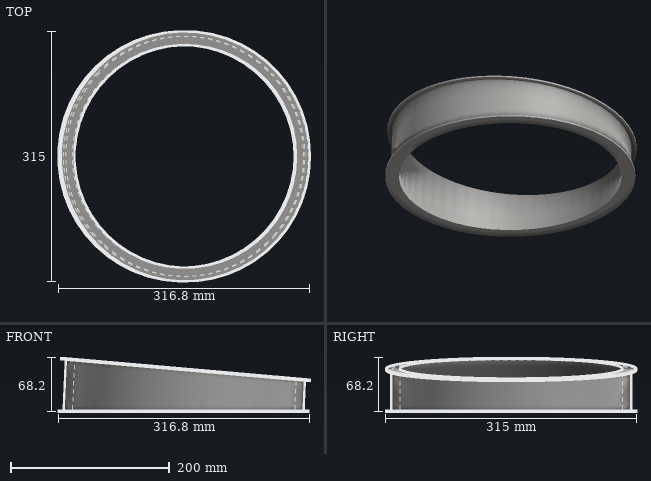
import cadquery as cq

bend_radius = 625.0
bend_angle = 5.0
flange_diameter = 315.0
flange_thickness = 2.0
tube_diameter = 302.5
bore_diameter = 280.0

pivot_start = (bend_radius, 0, 0)
pivot_end = (bend_radius, 1, 0)


def tilt_to_end(shape):
    """Move a shape from the base plane to the matching place on the tilted end plane."""
    return shape.rotate(pivot_start, pivot_end, bend_angle)


def tilted_bar(diameter):
    """Straight-sided bar joining a circle in the base plane to an equal circle in the end plane."""
    base_circle = cq.Wire.makeCircle(diameter / 2, cq.Vector(0, 0, 0), cq.Vector(0, 0, 1))
    end_circle = tilt_to_end(base_circle)
    return cq.Workplane(cq.Solid.makeLoft([base_circle, end_circle], True))


def flange_disc(signed_thickness):
    """Disc with one face on the base plane; a negative thickness puts it below the plane."""
    return cq.Workplane("XY").circle(flange_diameter / 2).extrude(signed_thickness)


base_flange = flange_disc(flange_thickness)
end_flange = tilt_to_end(flange_disc(-flange_thickness))

outer_body = tilted_bar(tube_diameter).union(base_flange).union(end_flange)
result = outer_body.cut(tilted_bar(bore_diameter))